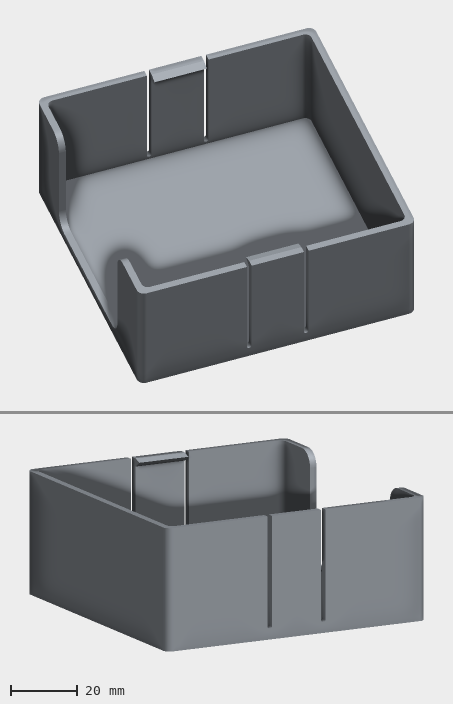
import cadquery as cq

side = 88.5
height = 38.0
wall = 2.2
floor_thickness = 2.5
outer_corner_radius = 2.3
inner_corner_radius = 2.0

opening_width = 50.45
opening_bottom = 3.0
opening_radius = 5.05

tongue_width = 16.7
slot_width = 1.5
slot_bottom = 3.4
lip_reach = 2.6
lip_drop = 0.9
lip_height = 2.6

inner_side = side - 2 * wall
clearance = 0.9


def make_tray():
    """Square open-topped tray with rounded vertical corners."""
    body = cq.Workplane("XY").rect(side, side).extrude(height).edges("|Z").fillet(outer_corner_radius)
    cavity = (
        cq.Workplane("XY", origin=(0, 0, floor_thickness))
        .rect(inner_side, inner_side)
        .extrude(height)
        .edges("|Z")
        .fillet(inner_corner_radius)
    )
    return body.cut(cavity)


def make_opening():
    """Front opening, rounded at its lower corners and flared out to meet the rim."""
    half = opening_width / 2
    r = opening_radius
    return (
        cq.Workplane("XZ", origin=(0, -side / 2 + wall, 0))
        .moveTo(-half - r, height)
        .radiusArc((-half, height - r), r)
        .lineTo(-half, opening_bottom + r)
        .radiusArc((-half + r, opening_bottom), -r)
        .lineTo(half - r, opening_bottom)
        .radiusArc((half, opening_bottom + r), -r)
        .lineTo(half, height - r)
        .radiusArc((half + r, height), r)
        .close()
        .extrude(wall + clearance)
    )


def make_slots(y):
    """Round-bottomed vertical slots through both side walls at position y."""
    slot_top = height + clearance
    return (
        cq.Workplane("YZ", origin=(0, y, 0))
        .moveTo(-slot_width / 2, slot_top)
        .lineTo(-slot_width / 2, slot_bottom + slot_width / 2)
        .threePointArc((0, slot_bottom), (slot_width / 2, slot_bottom + slot_width / 2))
        .lineTo(slot_width / 2, slot_top)
        .close()
        .extrude(side / 2 + clearance, both=True)
    )


def make_lip(direction):
    """Lip on the side wall at direction (-1 or +1) along X, ramping down to its inner edge."""
    wall_face = direction * inner_side / 2
    root = wall_face + direction * wall / 2
    tip = wall_face - direction * lip_reach
    return (
        cq.Workplane("XZ")
        .polyline([
            (root, height),
            (wall_face, height),
            (tip, height - lip_drop),
            (wall_face, height - lip_height),
            (root, height - lip_height),
        ])
        .close()
        .extrude(tongue_width / 2, both=True)
    )


result = make_tray().cut(make_opening())
slot_offset = (tongue_width + slot_width) / 2
for direction in (-1, 1):
    result = result.cut(make_slots(direction * slot_offset))
    result = result.union(make_lip(direction))